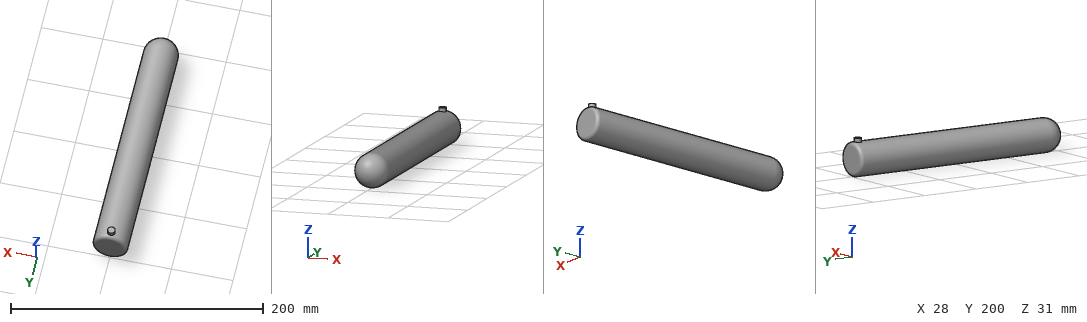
import cadquery as cq

rod_diameter = 28.0
total_length = 200.0
end_rounding = 3.0
pin_diameter = 6.0
pin_height = 3.0
pin_setback = 6.0

rod_radius = rod_diameter / 2
straight_length = total_length - rod_radius
pin_top = rod_radius + pin_height


def make_rod():
    """Round rod along +Y from the origin, with a rounded edge at its flat end."""
    rod = cq.Workplane("XZ").circle(rod_radius).extrude(-straight_length)
    return rod.faces(">Y").edges().fillet(end_rounding)


def make_dome():
    """Hemispherical tip closing the rod at Y = 0."""
    quarter = (
        cq.Workplane("XY")
        .lineTo(rod_radius, 0)
        .radiusArc((0, -rod_radius), rod_radius)
        .close()
    )
    return quarter.revolve(360, (0, 0, 0), (0, 1, 0))


def make_pin():
    """Upright locating pin, rooted on the rod axis near the flat end."""
    pin_base = cq.Workplane("XY").center(0, straight_length - pin_setback)
    return pin_base.circle(pin_diameter / 2).extrude(pin_top)


result = make_rod().union(make_dome()).union(make_pin())